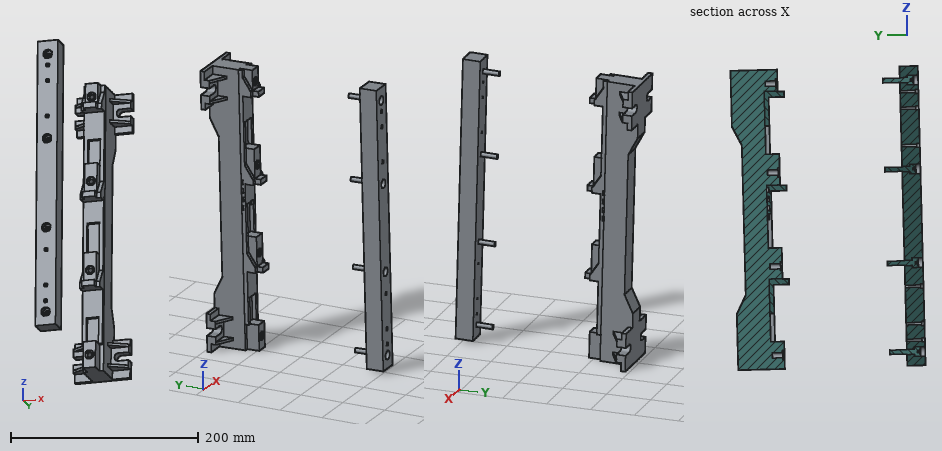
import cadquery as cq
TILT = 1.5
LENGTH = 320.0
HALF_LENGTH = LENGTH / 2
WIDTH = 22.8

FRAME_DEPTH = 35.8
FRAME_WAIST_DEPTH = 25.7
END_PAD_Z = 100.0
WAIST_Z = 80.0

FLANGE_WIDTH = 62.0
FLANGE_HEIGHT = 43.5
FLANGE_THICKNESS = 5.0
FLANGE_SLOT_Z = 137.2
FLANGE_SLOT_WIDTH = 8.8
FLANGE_SLOT_END_X = 15.3
RIB_SPAN = 26.5
RIB_THICKNESS = 3.0
RIB_TIP_Y = 14.3
SEAT_Y = 25.5

BOSS_PITCH = 100.0
BOSS_COUNT = 4
BOSS_WIDTH = 14.0
BOSS_FRONT_Y = -14.3
FIRST_BOSS_BOTTOM = 136.5
BOSS_HEIGHT = 33.5
BOSS_BORE = 5.2
BOSS_COUNTERBORE = 9.5
BOSS_COUNTERBORE_DEPTH = 2.0
BOSS_BORE_DEPTH = 13.0
SLIDE_THICKNESS = 4.5
WINDOW_CLEARANCES = (30.0, 30.0, 36.5, 30.0)
HOOK_FRONT_Y = -21.0
HOOK_HEIGHT = 6.2
RAMP_HEIGHT = 15.3
NOTCH_COUNT = 4
NOTCH_PITCH = 9.8
NOTCH_HEIGHT = 5.0
NOTCH_DEPTH = 2.0
FIRST_NOTCH_Z = 2.5

BAR_BACK_Y = -144.7
BAR_THICKNESS = 19.8
BAR_FRONT_Y = BAR_BACK_Y - BAR_THICKNESS
SCREW_ZS = (-145.0, -50.0, 50.0, 145.0)
PILOT_ZS = (-132.5, -115.0, -75.0, 75.0, 115.0, 132.5)
PILOT_DIAMETER = 2.0
PILOT_MOUTH_DIAMETER = 4.0
PILOT_MOUTH_DEPTH = 3.3
HEAD_DIAMETER = 9.8
HEAD_HEIGHT = 6.5
HEAD_RECESS = 5.0
SHANK_DIAMETER = 5.2
SHANK_TIP_Y = -126.5
DRIVE_SLOT_WIDTH = 1.8
DRIVE_SLOT_DEPTH = 3.3
DIMPLE_DIAMETER = 5.0
DIMPLE_DEPTH = 1.0

BOSS_BOTTOMS = [FIRST_BOSS_BOTTOM - i * BOSS_PITCH for i in range(BOSS_COUNT)]
SLIDE_BOTTOM = BOSS_BOTTOMS[-1] + BOSS_HEIGHT


def block(width, y_front, y_back, z_low, z_high):
    """Box centred on X between the given Y and Z limits."""
    return cq.Workplane("XY").box(
        width, y_back - y_front, z_high - z_low, centered=(True, False, False)
    ).translate((0, y_front, z_low))


def cylinder(diameter, y_front, y_back, z):
    """Cylinder along Y on the centre plane X = 0."""
    return (
        cq.Workplane("XZ", origin=(0, y_back, z))
        .circle(diameter / 2)
        .extrude(y_back - y_front)
    )


def side_profile(points, width):
    """Outline of (Y, Z) points extruded symmetrically along X."""
    return cq.Workplane("YZ").polyline(points).close().extrude(width / 2, both=True)


def make_column():
    return side_profile(
        [
            (0, -HALF_LENGTH),
            (FRAME_DEPTH, -HALF_LENGTH),
            (FRAME_DEPTH, -END_PAD_Z),
            (FRAME_WAIST_DEPTH, -WAIST_Z),
            (FRAME_WAIST_DEPTH, WAIST_Z),
            (FRAME_DEPTH, END_PAD_Z),
            (FRAME_DEPTH, HALF_LENGTH),
            (0, HALF_LENGTH),
        ],
        WIDTH,
    )


def make_rib(z_low):
    """Gusset pair tapering from the flange ends to the frame sides."""
    half_flange = FLANGE_WIDTH / 2
    half_width = WIDTH / 2
    return (
        cq.Workplane("XY", origin=(0, 0, z_low))
        .polyline(
            [
                (-half_flange, FRAME_DEPTH),
                (-half_flange, SEAT_Y),
                (-half_width, RIB_TIP_Y),
                (half_width, RIB_TIP_Y),
                (half_flange, SEAT_Y),
                (half_flange, FRAME_DEPTH),
            ]
        )
        .close()
        .extrude(RIB_THICKNESS)
    )


def make_flange_slots():
    """Two open-ended slots, one from each flange end."""
    radius = FLANGE_SLOT_WIDTH / 2
    slots = cq.Workplane("XY")
    for side in (-1, 1):
        inner = side * FLANGE_SLOT_END_X
        centre = inner + side * radius
        outer = side * FLANGE_WIDTH
        slots = slots.union(
            cq.Workplane("XZ", origin=(0, FRAME_DEPTH, FLANGE_SLOT_Z))
            .moveTo(outer, radius)
            .lineTo(centre, radius)
            .threePointArc((inner, 0), (centre, -radius))
            .lineTo(outer, -radius)
            .close()
            .extrude(FRAME_DEPTH - SEAT_Y)
        )
    return slots


def make_upper_flange():
    rib_low = FLANGE_SLOT_Z - RIB_SPAN / 2
    rib_high = FLANGE_SLOT_Z + RIB_SPAN / 2
    plate = block(
        FLANGE_WIDTH, FRAME_DEPTH - FLANGE_THICKNESS, FRAME_DEPTH, HALF_LENGTH - FLANGE_HEIGHT, HALF_LENGTH
    )
    seat = block(FLANGE_WIDTH, SEAT_Y, FRAME_DEPTH, rib_low, rib_high)
    flange = plate.union(seat).union(make_rib(rib_low)).union(make_rib(rib_high - RIB_THICKNESS))
    return flange.cut(make_flange_slots())


def make_frame():
    upper_flange = make_upper_flange()
    frame = make_column().union(upper_flange).union(upper_flange.mirror("XY"))
    for bottom in BOSS_BOTTOMS:
        z_low = max(bottom, -HALF_LENGTH)
        z_high = min(bottom + BOSS_HEIGHT, HALF_LENGTH)
        frame = frame.union(block(BOSS_WIDTH, BOSS_FRONT_Y, FRAME_WAIST_DEPTH, z_low, z_high))
    for z in SCREW_ZS:
        frame = frame.cut(cylinder(BOSS_BORE, BOSS_FRONT_Y, BOSS_FRONT_Y + BOSS_BORE_DEPTH, z))
        frame = frame.cut(
            cylinder(BOSS_COUNTERBORE, BOSS_FRONT_Y, BOSS_FRONT_Y + BOSS_COUNTERBORE_DEPTH, z)
        )
    return frame


def make_wing(hook_top):
    """Full-width ramp below a boss, ending level with the boss front."""
    return side_profile(
        [
            (0, hook_top - HOOK_HEIGHT),
            (BOSS_FRONT_Y, hook_top - HOOK_HEIGHT),
            (BOSS_FRONT_Y, hook_top),
            (-SLIDE_THICKNESS, hook_top + RAMP_HEIGHT),
            (0, hook_top + RAMP_HEIGHT),
        ],
        WIDTH,
    )


def make_slide():
    slide = block(WIDTH, -SLIDE_THICKNESS, 0, SLIDE_BOTTOM, HALF_LENGTH)
    for hook_top in BOSS_BOTTOMS[:-1]:
        hook = block(BOSS_WIDTH, HOOK_FRONT_Y, 0, hook_top - HOOK_HEIGHT, hook_top)
        slide = slide.union(make_wing(hook_top)).union(hook)
    for bottom, clearance in zip(BOSS_BOTTOMS, WINDOW_CLEARANCES):
        window_top = bottom + BOSS_HEIGHT + clearance
        slide = slide.cut(block(BOSS_WIDTH, HOOK_FRONT_Y, 0, bottom, window_top))
    for i in range(NOTCH_COUNT):
        z_mid = FIRST_NOTCH_Z + i * NOTCH_PITCH
        slide = slide.cut(block(WIDTH, -NOTCH_DEPTH, 0, z_mid - NOTCH_HEIGHT / 2, z_mid + NOTCH_HEIGHT / 2))
    return slide


HEAD_FRONT_Y = BAR_FRONT_Y + HEAD_RECESS
HEAD_BACK_Y = HEAD_FRONT_Y + HEAD_HEIGHT


def make_cover_bar():
    bar = block(WIDTH, BAR_FRONT_Y, BAR_BACK_Y, -HALF_LENGTH, HALF_LENGTH)
    for z in SCREW_ZS:
        bar = bar.cut(cylinder(HEAD_DIAMETER, BAR_FRONT_Y, HEAD_BACK_Y, z))
        bar = bar.cut(cylinder(SHANK_DIAMETER, BAR_FRONT_Y, BAR_BACK_Y, z))
    for z in PILOT_ZS:
        bar = bar.cut(cylinder(PILOT_MOUTH_DIAMETER, BAR_FRONT_Y, BAR_FRONT_Y + PILOT_MOUTH_DEPTH, z))
        bar = bar.cut(cylinder(PILOT_DIAMETER, BAR_FRONT_Y, BAR_BACK_Y, z))
    return bar


def make_screw(z):
    screw = cylinder(HEAD_DIAMETER, HEAD_FRONT_Y, HEAD_BACK_Y, z)
    screw = screw.union(cylinder(SHANK_DIAMETER, HEAD_BACK_Y, SHANK_TIP_Y, z))
    half_slot = DRIVE_SLOT_WIDTH / 2
    slot = block(HEAD_DIAMETER, HEAD_FRONT_Y, HEAD_FRONT_Y + DRIVE_SLOT_DEPTH, z - half_slot, z + half_slot)
    dimple = cylinder(DIMPLE_DIAMETER, HEAD_FRONT_Y, HEAD_FRONT_Y + DIMPLE_DEPTH, z)
    return screw.cut(slot).cut(dimple)


frame = make_frame()
slide = make_slide()
cover_bar = make_cover_bar()
screws = [make_screw(z) for z in SCREW_ZS]

bodies = [frame, slide, cover_bar, *screws]
result = cq.Compound.makeCompound(
    [body.rotate((0, 0, 0), (1, 0, 0), -TILT).val() for body in bodies]
)